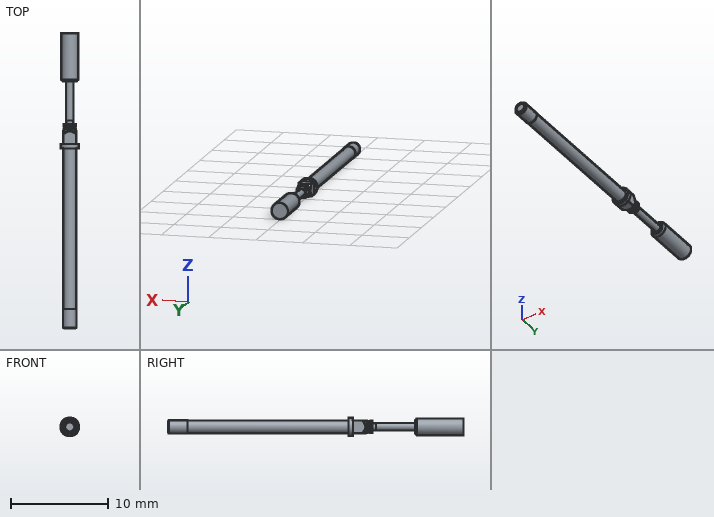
import cadquery as cq


FLANGE_DIAMETER = 1.9
FLANGE_LENGTH = 0.46
SQUARE_SIDE = 1.35
SQUARE_LENGTH = 1.45
SQUARE_NOSE_DIAMETER = 1.06
SQUARE_NOSE_CONE_LENGTH = 0.45

BARREL_DIAMETER = 1.35
BARREL_LENGTH = 16.55
TAIL_DIAMETER = 1.4
TAIL_LENGTH = 2.0
TAIL_CHAMFER_LENGTH = 0.1
TAIL_CHAMFER_DEPTH = 0.22

COLLAR_DIAMETER = 1.31
COLLAR_RING_LENGTH = 0.18
COLLAR_GROOVE_LENGTH = 0.41
COLLAR_GROOVE_DIAMETER = 1.12

NECK_DIAMETER = 0.75
NECK_LENGTH = 0.35
SHAFT_DIAMETER = 0.8
SHAFT_LENGTH = 4.0
HEAD_DIAMETER = 1.75
HEAD_LENGTH = 5.0
HEAD_CHAMFER = 0.22

FLANGE_FRONT = FLANGE_LENGTH
SQUARE_FRONT = FLANGE_FRONT + SQUARE_LENGTH
GROOVE_FRONT = SQUARE_FRONT + COLLAR_GROOVE_LENGTH
COLLAR_FRONT = GROOVE_FRONT + COLLAR_RING_LENGTH
NECK_FRONT = COLLAR_FRONT + NECK_LENGTH
HEAD_REAR = NECK_FRONT + SHAFT_LENGTH
BARREL_REAR = -BARREL_LENGTH


def rod(diameter, start, length):
    """Cylinder on the Y axis running from `start` toward +Y."""
    base = cq.Workplane("XZ", origin=(0, start, 0))
    return base.circle(diameter / 2).extrude(-length)


def revolved(profile):
    """Solid of revolution about Y from (radius, station) points."""
    return cq.Workplane("XY").polyline(profile).close().revolve(360, (0, 0), (0, 1))


def make_tail():
    """Slightly wider end of the barrel with a chamfered tip."""
    tail_rear = BARREL_REAR - TAIL_LENGTH
    tail_radius = TAIL_DIAMETER / 2
    return revolved([
        (0, tail_rear),
        (tail_radius - TAIL_CHAMFER_DEPTH, tail_rear),
        (tail_radius, tail_rear + TAIL_CHAMFER_LENGTH),
        (tail_radius, BARREL_REAR),
        (0, BARREL_REAR),
    ])


def make_square():
    """Square section trimmed by the flange cylinder and a nose cone."""
    base = cq.Workplane("XZ", origin=(0, FLANGE_FRONT, 0))
    square = base.rect(SQUARE_SIDE, SQUARE_SIDE).extrude(-SQUARE_LENGTH)
    envelope = revolved([
        (0, FLANGE_FRONT),
        (FLANGE_DIAMETER / 2, FLANGE_FRONT),
        (FLANGE_DIAMETER / 2, SQUARE_FRONT - SQUARE_NOSE_CONE_LENGTH),
        (SQUARE_NOSE_DIAMETER / 2, SQUARE_FRONT),
        (0, SQUARE_FRONT),
    ])
    return square.intersect(envelope)


def make_collar():
    """Front ring with a shallow V groove behind it, seated on the square nose."""
    groove_middle = (SQUARE_FRONT + GROOVE_FRONT) / 2
    return revolved([
        (0, SQUARE_FRONT),
        (COLLAR_DIAMETER / 2, SQUARE_FRONT),
        (COLLAR_GROOVE_DIAMETER / 2, groove_middle),
        (COLLAR_DIAMETER / 2, GROOVE_FRONT),
        (COLLAR_DIAMETER / 2, COLLAR_FRONT),
        (0, COLLAR_FRONT),
    ])


def make_head():
    """Plunger head, chamfered where it faces the shaft."""
    head = rod(HEAD_DIAMETER, HEAD_REAR, HEAD_LENGTH)
    return head.faces("<Y").edges().chamfer(HEAD_CHAMFER)


result = (
    make_tail()
    .union(rod(BARREL_DIAMETER, BARREL_REAR, BARREL_LENGTH))
    .union(rod(FLANGE_DIAMETER, 0, FLANGE_LENGTH))
    .union(make_square())
    .union(make_collar())
    .union(rod(NECK_DIAMETER, COLLAR_FRONT, NECK_LENGTH))
    .union(rod(SHAFT_DIAMETER, NECK_FRONT, SHAFT_LENGTH))
    .union(make_head())
)